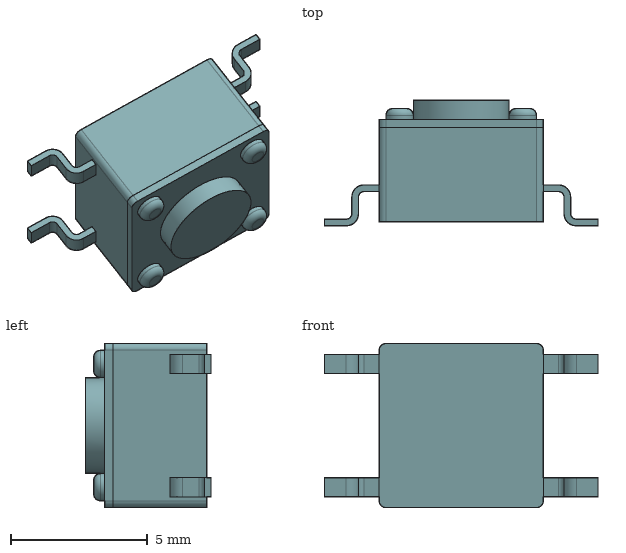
import cadquery as cq

body_width = 6.0
corner_radius = 0.25
housing_depth = 3.44
cover_thickness = 0.3
cover_face_y = housing_depth + cover_thickness

button_diameter = 3.5
button_height = 0.7

post_diameter = 1.0
post_height = 0.4
post_rounding = 0.25
post_spacing = 4.5

lead_span = 10.0
lead_width = 0.7
lead_thickness = 0.25
lead_spacing = 4.5
lead_inner_radius = 0.2
lead_outer_radius = lead_inner_radius + lead_thickness
lead_leg_x = 4.0
lead_shoulder_y = 1.35
lead_foot_y = -0.15


def plane_at(y):
    """XZ plane at the given Y, with its normal along +Y and its local Y along +Z."""
    return cq.Plane(origin=(0, y, 0), xDir=(-1, 0, 0), normal=(0, 1, 0))


def make_rounded_block(start_y, depth):
    """Square block with its four edges along Y rounded."""
    block = cq.Workplane(plane_at(start_y)).rect(body_width, body_width).extrude(depth)
    return block.edges("|Y").fillet(corner_radius)


def make_housing():
    return make_rounded_block(0, housing_depth)


def make_cover():
    """Cover plate with a rounded post near each corner."""
    plate = make_rounded_block(housing_depth, cover_thickness)
    posts = (
        cq.Workplane(plane_at(cover_face_y))
        .rect(post_spacing, post_spacing, forConstruction=True)
        .vertices()
        .circle(post_diameter / 2)
        .extrude(post_height)
        .faces(">Y")
        .edges()
        .fillet(post_rounding)
    )
    return plate.union(posts)


def make_button():
    return cq.Workplane(plane_at(cover_face_y)).circle(button_diameter / 2).extrude(button_height)


def make_lead(side, center_z):
    """Bent strip from the housing wall to the foot; side is +1 or -1 along X."""
    wall_x = body_width / 2
    tip_x = lead_span / 2
    leg_outer_x = lead_leg_x
    leg_inner_x = leg_outer_x - lead_thickness
    arm_top_y = lead_shoulder_y
    arm_bottom_y = arm_top_y - lead_thickness
    foot_bottom_y = lead_foot_y
    foot_top_y = foot_bottom_y + lead_thickness
    shoulder_x = leg_outer_x - lead_outer_radius
    shoulder_y = arm_top_y - lead_outer_radius
    ankle_x = leg_inner_x + lead_outer_radius
    ankle_y = foot_bottom_y + lead_outer_radius

    strip = (
        cq.Workplane("XY", origin=(0, 0, center_z))
        .moveTo(wall_x, arm_top_y)
        .lineTo(shoulder_x, arm_top_y)
        .tangentArcPoint((leg_outer_x, shoulder_y), relative=False)
        .lineTo(leg_outer_x, ankle_y)
        .tangentArcPoint((ankle_x, foot_top_y), relative=False)
        .lineTo(tip_x, foot_top_y)
        .lineTo(tip_x, foot_bottom_y)
        .lineTo(ankle_x, foot_bottom_y)
        .tangentArcPoint((leg_inner_x, ankle_y), relative=False)
        .lineTo(leg_inner_x, shoulder_y)
        .tangentArcPoint((shoulder_x, arm_bottom_y), relative=False)
        .lineTo(wall_x, arm_bottom_y)
        .close()
        .extrude(lead_width / 2, both=True)
    )
    if side < 0:
        strip = strip.mirror("YZ")
    return strip


housing = make_housing()
cover = make_cover()
button = make_button()

leads = []
for side in (-1, 1):
    for level in (-1, 1):
        lead = make_lead(side, level * lead_spacing / 2)
        leads.append(lead.val())

result = cq.Compound.makeCompound([housing.val(), cover.val(), button.val(), *leads])